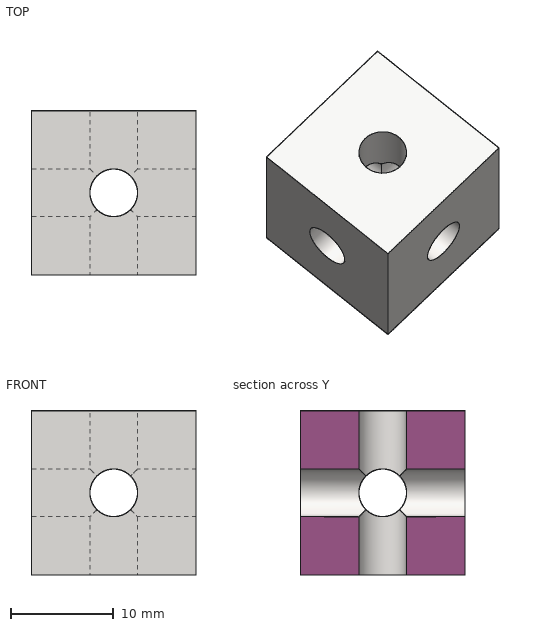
import cadquery as cq

cube_side = 16.0
hole_diameter = 4.6

result = cq.Workplane("XY").box(cube_side, cube_side, cube_side)

for face in (">X", ">Y", ">Z"):
    result = (
        result.faces(face)
        .workplane(origin=(0, 0, 0))
        .hole(hole_diameter)
    )